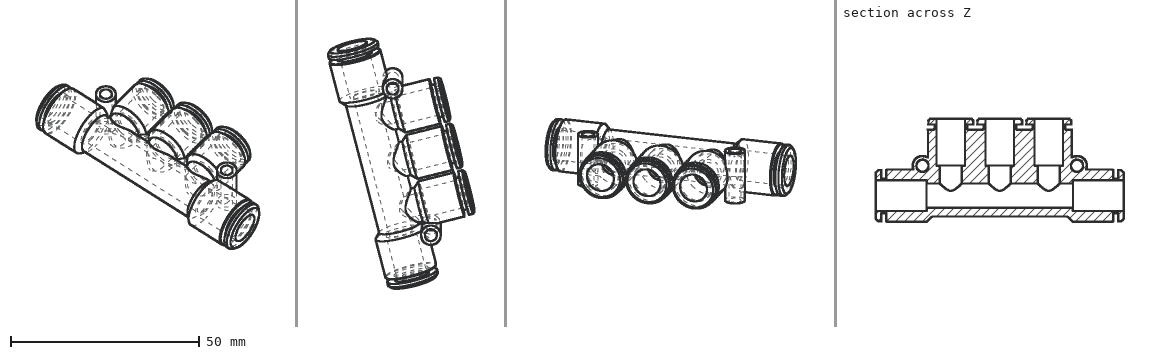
import cadquery as cq

overall_length = 66.0
overall_reach = 20.45

socket_radius = 7.0
socket_end = 30.15
socket_shoulder = 19.4
socket_edge_chamfer = 0.2
barrel_radius = 5.6
barrel_half_length = 17.9
run_neck_radius = 4.7
run_collar_radius = 6.85
collar_thickness = 1.6
collar_chamfer = 0.7
run_tube_radius = 4.0
run_bore_radius = 3.2

port_count = 3
port_spacing = 13.0
port_radius = 6.15
port_end = 17.55
port_shoulder = 8.0
port_stem_top = 6.55
port_stem_radius = 4.75
port_lip_radius = 4.5
port_lip_height = 0.2
port_neck_radius = 4.4
port_collar_radius = 6.0
port_collar_chamfer = 0.5

tube_wall = run_neck_radius - run_tube_radius
tube_stop = run_tube_radius - run_bore_radius
port_tube_radius = port_neck_radius - tube_wall
port_bore_radius = port_tube_radius - tube_stop

web_thickness = 1.0
post_x = 20.5
post_y = 7.9
post_radius = 2.65
post_hole_radius = 1.6
post_height = 2 * socket_radius

run_end = overall_length / 2
port_positions = [(i - (port_count - 1) / 2) * port_spacing for i in range(port_count)]


def turned(profile):
    """Revolve (distance along +Y, radius) points, starting and ending on the Y axis, about that axis."""
    outline = [(radius, distance) for distance, radius in profile]
    return cq.Workplane("XY").polyline(outline).close().revolve(360, (0, 0, 0), (0, 1, 0))


def cylinder(start, end, radius):
    """Cylinder about the Y axis from start to end."""
    return turned([(start, 0), (start, radius), (end, radius), (end, 0)])


def collar_profile(end, neck_radius, collar_radius, chamfer):
    """Points from the inner end of a collar to its outer face, closing on the axis."""
    collar_start = end - collar_thickness
    return [
        (collar_start, neck_radius),
        (collar_start, collar_radius),
        (end - chamfer, collar_radius),
        (end, collar_radius - chamfer),
        (end, 0),
    ]


def along_run(shape):
    """Turn a shape built about the Y axis onto the run axis."""
    return shape.rotate((0, 0, 0), (0, 0, 1), -90)


def at_ports(shape):
    """Copy a shape built along +Y to every branch port."""
    copies = cq.Workplane("XY")
    for x in port_positions:
        copies = copies.union(shape.translate((x, 0, 0)))
    return copies


def run():
    right_half = [
        (barrel_half_length, barrel_radius),
        (socket_shoulder, socket_radius),
        (socket_end - socket_edge_chamfer, socket_radius),
        (socket_end, socket_radius - socket_edge_chamfer),
        (socket_end, run_neck_radius),
    ]
    right_half += collar_profile(run_end, run_neck_radius, run_collar_radius, collar_chamfer)
    left_half = [(-distance, radius) for distance, radius in reversed(right_half)]
    return along_run(turned(left_half + right_half))


def run_passage():
    """Through bore of the run, widened to the tube size in both end sockets."""
    tube_socket = cylinder(socket_shoulder, run_end, run_tube_radius)
    passage = cylinder(-run_end, run_end, run_bore_radius)
    passage = passage.union(tube_socket).union(tube_socket.mirror("XZ"))
    return along_run(passage)


def port():
    profile = [
        (0, 0),
        (0, port_stem_radius),
        (port_stem_top, port_stem_radius),
        (port_shoulder, port_radius),
        (port_end, port_radius),
        (port_end, port_lip_radius),
        (port_end + port_lip_height, port_lip_radius),
        (port_end + port_lip_height, port_neck_radius),
    ]
    profile += collar_profile(overall_reach, port_neck_radius, port_collar_radius, port_collar_chamfer)
    return turned(profile)


def port_passage():
    """Tube socket down to the port shoulder, then a narrower bore to the run axis."""
    tube_socket = cylinder(port_shoulder, overall_reach, port_tube_radius)
    return cylinder(0, overall_reach, port_bore_radius).union(tube_socket)


def web():
    """Flat plate in the port plane: full height between the ports, lower out to the posts."""
    port_span = port_positions[-1] - port_positions[0]
    from_axis = (True, False, True)
    between_ports = cq.Workplane("XY").box(port_span, port_end, web_thickness, centered=from_axis)
    between_posts = cq.Workplane("XY").box(2 * post_x, post_y, web_thickness, centered=from_axis)
    return between_ports.union(between_posts)


def at_posts(radius):
    """Vertical cylinders centred on the mounting posts."""
    centres = [(-post_x, post_y), (post_x, post_y)]
    base = cq.Workplane("XY").workplane(offset=-post_height / 2)
    return base.pushPoints(centres).circle(radius).extrude(post_height)


body = run().union(at_ports(port())).union(web()).union(at_posts(post_radius))
result = body.cut(run_passage()).cut(at_ports(port_passage())).cut(at_posts(post_hole_radius))